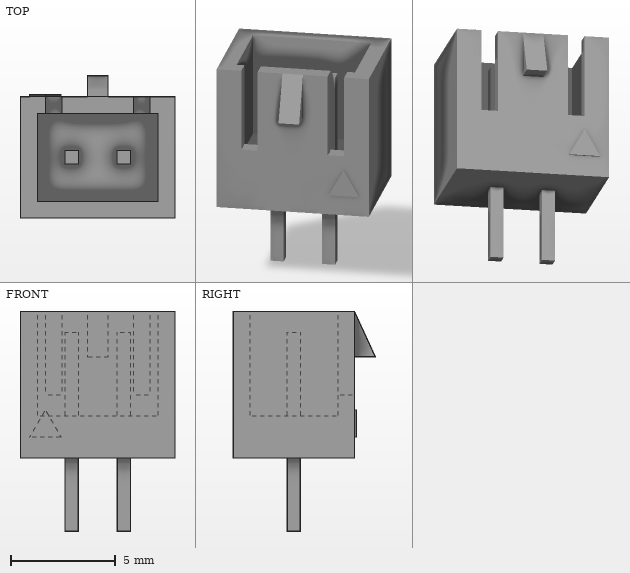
import cadquery as cq
import math


body_width = 7.4
body_depth = 5.8
body_height = 7.0
side_wall = 0.825
end_wall = 0.8
floor_thickness = 2.0

pin_count = 2
pin_pitch = 2.5
pin_size = 0.64
pin_tail = 3.5
pin_recess = 1.0

slot_width = 0.8
slot_depth = 4.0
slot_spacing = 4.2

latch_width = 1.0
latch_reach = 1.0
latch_height = 2.17

marker_side = 1.5
marker_height = marker_side * math.sqrt(3) / 2
marker_relief = 0.1
marker_base_z = 1.0
marker_x = -2.5

rear_face_y = body_depth / 2


def make_shroud():
    """Box with a rectangular cavity open at the top."""
    cavity_width = body_width - 2 * side_wall
    cavity_depth = body_depth - 2 * end_wall
    outer = cq.Workplane("XY").rect(body_width, body_depth).extrude(body_height)
    cavity = (
        cq.Workplane("XY")
        .workplane(offset=floor_thickness)
        .rect(cavity_width, cavity_depth)
        .extrude(body_height - floor_thickness)
    )
    return outer.cut(cavity)


def make_slots():
    """Cutters for the two slots that open the rear wall at its rim."""
    return (
        cq.Workplane("XY")
        .workplane(offset=body_height - slot_depth)
        .pushPoints([(side * slot_spacing / 2, rear_face_y - end_wall / 2) for side in (-1, 1)])
        .rect(slot_width, end_wall)
        .extrude(slot_depth)
    )


def make_pins():
    """Square pins running from the tails up into the cavity."""
    return (
        cq.Workplane("XY")
        .workplane(offset=-pin_tail)
        .rarray(pin_pitch, pin_pitch, pin_count, 1)
        .rect(pin_size, pin_size)
        .extrude(pin_tail + body_height - pin_recess)
    )


def make_latch():
    """Wedge that slopes outward from the rim to a flat underside."""
    latch_bottom_z = body_height - latch_height
    return (
        cq.Workplane("YZ")
        .moveTo(rear_face_y, body_height)
        .lineTo(rear_face_y + latch_reach, latch_bottom_z)
        .lineTo(rear_face_y, latch_bottom_z)
        .close()
        .extrude(latch_width / 2, both=True)
    )


def make_marker():
    """Thin triangle standing proud of the rear face."""
    return (
        cq.Workplane("XZ")
        .workplane(offset=-rear_face_y)
        .moveTo(marker_x - marker_side / 2, marker_base_z)
        .lineTo(marker_x + marker_side / 2, marker_base_z)
        .lineTo(marker_x, marker_base_z + marker_height)
        .close()
        .extrude(-marker_relief)
    )


result = (
    make_shroud()
    .cut(make_slots())
    .union(make_pins())
    .union(make_latch())
    .union(make_marker())
)